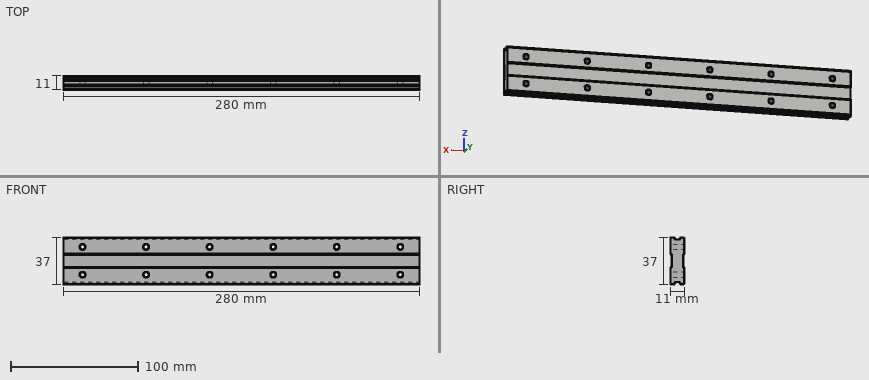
import cadquery as cq

length = 280
thickness = 11.0
height = 37.0

groove_mouth = 5.5
groove_floor = 2.8
groove_depth = 1.7

back_bevel = 1.0
front_bevel = 0.42

relief_mouth = 11.2
relief_floor = 9.5
relief_depth = 0.8

hole_diameter = 4.2
holes_per_row = 6
hole_end_distance = 15.0
row_spacing = 21.8
hole_pitch = (length - 2 * hole_end_distance) / (holes_per_row - 1)

half_thickness = thickness / 2
half_height = height / 2


def long_prism(points):
    """Extrude a YZ outline over the full length of the bar."""
    return cq.Workplane("YZ").polyline(points).close().extrude(length / 2, both=True)


def make_bar():
    """Bar with a larger bevel on its back edges than on its front edges."""
    blank = cq.Workplane("XY").box(length, thickness, height)
    bevelled = blank.edges("|X and >Y").chamfer(back_bevel)
    return bevelled.edges("|X and <Y").chamfer(front_bevel)


def edge_groove(side):
    """Groove cutter for the top (side = 1) or the bottom (side = -1)."""
    mouth_z = side * half_height
    floor_z = side * (half_height - groove_depth)
    return long_prism([
        (-groove_mouth / 2, mouth_z),
        (-groove_floor / 2, floor_z),
        (groove_floor / 2, floor_z),
        (groove_mouth / 2, mouth_z),
    ])


def face_relief(side):
    """Relief cutter for the back (side = 1) or the front (side = -1)."""
    mouth_y = side * half_thickness
    floor_y = side * (half_thickness - relief_depth)
    return long_prism([
        (mouth_y, -relief_mouth / 2),
        (floor_y, -relief_floor / 2),
        (floor_y, relief_floor / 2),
        (mouth_y, relief_mouth / 2),
    ])


def make_holes():
    """Cylinders through the thickness at every hole position."""
    return (
        cq.Workplane("XZ")
        .rarray(hole_pitch, row_spacing, holes_per_row, 2)
        .circle(hole_diameter / 2)
        .extrude(thickness, both=True)
    )


result = make_bar()
for side in (1, -1):
    result = result.cut(edge_groove(side)).cut(face_relief(side))
result = result.cut(make_holes())